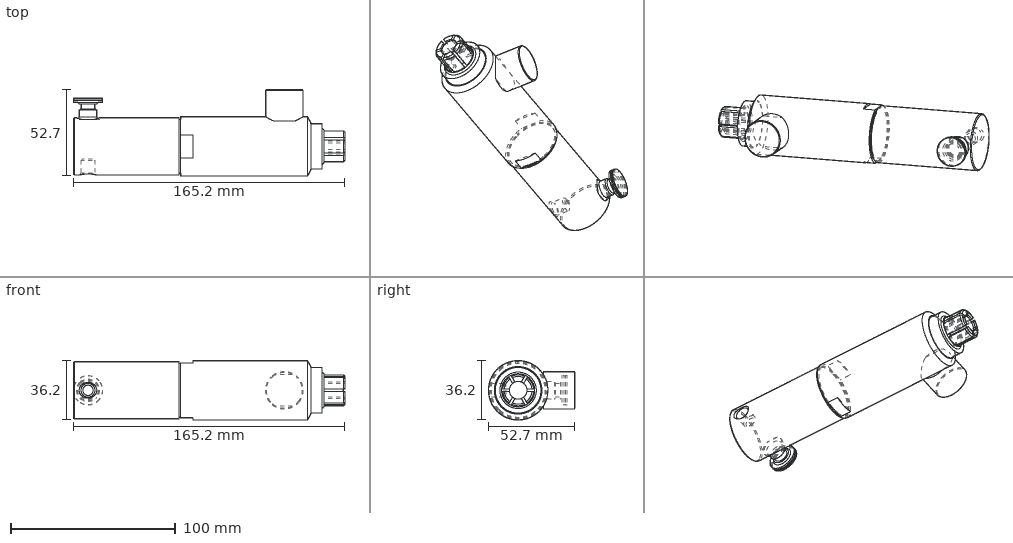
import cadquery as cq

total_length = 165.2
rear_dia = 34.9
rear_length = 64.3
rear_chamfer = 0.7
neck_dia = 32.9
neck_end = 65.3
front_dia = 36.2
cone_start = 142.2
cone_end = 144.4
cone_end_dia = 28.9
collar_dia = 27.8
collar_end = 151.2
seat_dia = 22.1
seat_end_dia = 20.2
seat_end = 152.3
collet_dia = 18.8
collet_chamfer = 1.0

flat_distance = 33.4
flat_end = 72.7

slot_count = 6
slot_width = 1.7
core_dia = 10.7
core_setback = 1.2

port_x = 128.2
port_dia = 22.8
port_base_y = 15.4
port_chamfer = 0.5
overall_width = 52.7
port_end_y = overall_width - front_dia / 2

flange_dia = 17.8
cross_x = flange_dia / 2
spotface_dia = 13.9
spotface_y = 16.4
nipple_base_dia = 10.7
foot_dia = 13.5
foot_end = 17.8
nipple_base_end = 22.8
nipple_neck_dia = 8.5
shoulder_length = 0.7
hub_start = 25.8
hub_dia = 12.5
flange_start = 26.8
flange_end = 29.5
rim_groove_start = 28.0
rim_groove_end = 28.7
rim_groove_depth = 0.2

hole_sink_dia = 10.7
hole_dia = 8.5
hole_floor_dia = 6.3
hole_depth = 9.9


def turned_about_x(profile):
    """Revolve a closed list of (x, radius) points about the X axis."""
    return cq.Workplane("XY").polyline(profile).close().revolve(360, (0, 0), (1, 0))


def turned_about_cross_axis(profile):
    """Revolve a closed list of (radius, y) points about the cross axis."""
    points = [(cross_x + radius, y) for radius, y in profile]
    return cq.Workplane("XY").polyline(points).close().revolve(360, (cross_x, 0), (cross_x, 1))


def make_body():
    return turned_about_x([
        (0, 0),
        (0, rear_dia / 2 - rear_chamfer),
        (rear_chamfer, rear_dia / 2),
        (rear_length, rear_dia / 2),
        (rear_length, neck_dia / 2),
        (neck_end, neck_dia / 2),
        (neck_end, front_dia / 2),
        (cone_start, front_dia / 2),
        (cone_end, cone_end_dia / 2),
        (cone_end, collar_dia / 2),
        (collar_end, collar_dia / 2),
        (collar_end, seat_dia / 2),
        (seat_end, seat_end_dia / 2),
        (seat_end, collet_dia / 2),
        (total_length - collet_chamfer, collet_dia / 2),
        (total_length, collet_dia / 2 - collet_chamfer),
        (total_length, core_dia / 2),
        (total_length - core_setback, core_dia / 2),
        (total_length - core_setback, 0),
    ])


def cut_wrench_flats(body):
    length = flat_end - neck_end
    for side in (1, -1):
        cutter = cq.Workplane("XY").box(length, front_dia, front_dia, centered=(False, True, True))
        body = body.cut(cutter.translate((neck_end, 0, side * (flat_distance + front_dia) / 2)))
    return body


def cut_collet_slots(body):
    length = total_length - seat_end
    slot = (
        cq.Workplane("XY")
        .box(length, collet_dia, slot_width, centered=(False, False, True))
        .translate((seat_end, 0, 0))
    )
    core = cq.Workplane("YZ", origin=(seat_end, 0, 0)).circle(core_dia / 2).extrude(length)
    slot = slot.cut(core)
    for index in range(slot_count):
        body = body.cut(slot.rotate((0, 0, 0), (1, 0, 0), index * 360 / slot_count))
    return body


def make_port():
    port = (
        cq.Workplane("XZ", origin=(port_x, port_base_y, 0))
        .circle(port_dia / 2)
        .extrude(port_base_y - port_end_y)
    )
    return port.faces(">Y").edges().chamfer(port_chamfer)


def make_spotface():
    """Flat-bottomed recess around the foot of the nipple."""
    return turned_about_cross_axis([
        (0, spotface_y),
        (spotface_dia / 2, spotface_y),
        (spotface_dia / 2, rear_dia / 2),
        (0, rear_dia / 2),
    ])


def make_nipple():
    base_radius = nipple_base_dia / 2
    neck_radius = nipple_neck_dia / 2
    flange_radius = flange_dia / 2
    groove_radius = flange_radius - rim_groove_depth
    return turned_about_cross_axis([
        (0, 0),
        (base_radius, 0),
        (base_radius, spotface_y),
        (foot_dia / 2, spotface_y),
        (base_radius, foot_end),
        (base_radius, nipple_base_end - shoulder_length),
        (neck_radius, nipple_base_end),
        (neck_radius, hub_start),
        (base_radius, hub_start),
        (hub_dia / 2, flange_start),
        (flange_radius, flange_start),
        (flange_radius, rim_groove_start),
        (groove_radius, rim_groove_start),
        (groove_radius, rim_groove_end),
        (flange_radius, rim_groove_end),
        (flange_radius, flange_end),
        (0, flange_end),
    ])


def make_blind_hole():
    """Countersunk hole from -Y whose floor edge is bevelled."""
    mouth_y = -rear_dia / 2
    sink_depth = (hole_sink_dia - hole_dia) / 2
    floor_bevel = (hole_dia - hole_floor_dia) / 2
    overshoot = 1.7
    return turned_about_cross_axis([
        (0, mouth_y - overshoot),
        (hole_sink_dia / 2 + overshoot, mouth_y - overshoot),
        (hole_dia / 2, mouth_y + sink_depth),
        (hole_dia / 2, mouth_y + hole_depth - floor_bevel),
        (hole_floor_dia / 2, mouth_y + hole_depth),
        (0, mouth_y + hole_depth),
    ])


body = cut_collet_slots(cut_wrench_flats(make_body()))
body = body.cut(make_spotface()).cut(make_blind_hole())
result = body.union(make_port()).union(make_nipple())